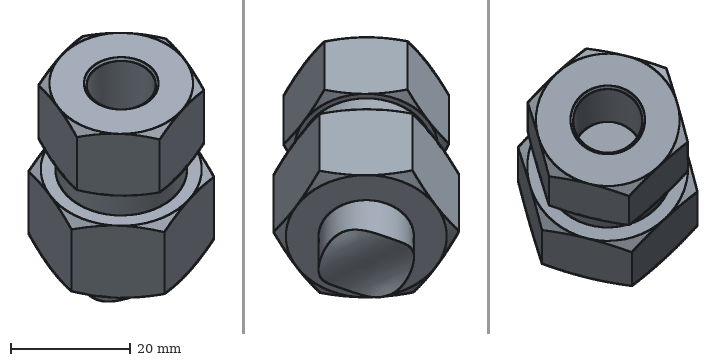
import cadquery as cq
import math


hex_sides = 6
body_flats = 27.0
body_height = 17.0
nut_flats = 24.1
nut_height = 14.6
hex_chamfer_angle = 30.0

neck_diameter = 22.1
neck_height = 5.65

bore_diameter = 11.6
bore_depth = nut_height
mouth_diameter = 12.5
mouth_depth = 0.45

tube_diameter = 16.0
wave_mean_length = 7.0
wave_amplitude = 1.6

neck_bottom = body_height
nut_bottom = neck_bottom + neck_height
top = nut_bottom + nut_height


def chamfered_hexagon(flats, height, bottom):
    """Hexagon prism with its corners turned off conically at both ends."""
    corner_diameter = flats / math.cos(math.pi / hex_sides)
    face_radius = flats / 2
    corner_radius = corner_diameter / 2
    corner_drop = (corner_radius - face_radius) * math.tan(math.radians(hex_chamfer_angle))
    prism = (
        cq.Workplane("XY")
        .workplane(offset=bottom)
        .transformed(rotate=(0, 0, 90))
        .polygon(hex_sides, corner_diameter)
        .extrude(height)
    )
    turned_envelope = (
        cq.Workplane("YZ")
        .moveTo(0, bottom)
        .lineTo(face_radius, bottom)
        .lineTo(corner_radius, bottom + corner_drop)
        .lineTo(corner_radius, bottom + height - corner_drop)
        .lineTo(face_radius, bottom + height)
        .lineTo(0, bottom + height)
        .close()
        .revolve(360, (0, 0, 0), (0, 1, 0))
    )
    return prism.intersect(turned_envelope)


def neck():
    """Plain cylinder joining the two hexagons."""
    return (
        cq.Workplane("XY")
        .workplane(offset=neck_bottom)
        .circle(neck_diameter / 2)
        .extrude(neck_height)
    )


def tube_stub():
    """Round stub whose end follows one full wave across Y, constant along X."""
    radius = tube_diameter / 2
    wave_points = [
        (-radius, -wave_mean_length),
        (-radius / 2, -wave_mean_length + wave_amplitude),
        (0, -wave_mean_length),
        (radius / 2, -wave_mean_length - wave_amplitude),
        (radius, -wave_mean_length),
    ]
    wavy_slab = (
        cq.Workplane("YZ")
        .moveTo(-radius, 0)
        .lineTo(*wave_points[0])
        .spline(wave_points[1:], includeCurrent=True)
        .lineTo(radius, 0)
        .close()
        .extrude(radius, both=True)
    )
    uncut_length = 2 * wave_mean_length
    cylinder = cq.Workplane("XY").circle(radius).extrude(-uncut_length)
    return cylinder.intersect(wavy_slab)


def bore_cutter():
    """Flat-bottomed bore, opened out by a short cone at the top face."""
    bore_radius = bore_diameter / 2
    return (
        cq.Workplane("YZ")
        .moveTo(0, top)
        .lineTo(mouth_diameter / 2, top)
        .lineTo(bore_radius, top - mouth_depth)
        .lineTo(bore_radius, top - bore_depth)
        .lineTo(0, top - bore_depth)
        .close()
        .revolve(360, (0, 0, 0), (0, 1, 0))
    )


result = (
    chamfered_hexagon(body_flats, body_height, 0)
    .union(neck())
    .union(chamfered_hexagon(nut_flats, nut_height, nut_bottom))
    .union(tube_stub())
    .cut(bore_cutter())
)